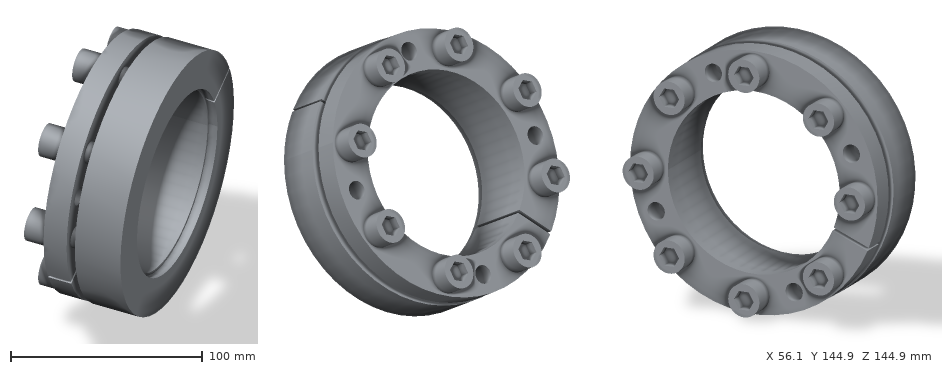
import cadquery as cq
import math


flange_thickness = 13.2
gap = 4.9
ring_width = 26.1
sleeve_setback = 5.0
ring_front = flange_thickness + gap
ring_rear = ring_front + ring_width
sleeve_end = ring_rear - sleeve_setback

ring_diameter = 144.9
flange_diameter = 144.0
bore_diameter = 100.0
taper_front_radius = 53.6
taper_rear_radius = 51.3

pitch_radius = 61.5
screw_count = 8
shank_diameter = 12.0
head_diameter = 18.1
head_height = 11.9
socket_across_flats = 10.0
socket_depth = 6.0
socket_sides = 6
jack_hole_count = 4
jack_hole_diameter = 10.0

half_screw_step = 180 / screw_count
jack_start_angle = 3 * half_screw_step
ring_slit_angle = half_screw_step
flange_slit_angle = ring_slit_angle + 180
flange_slit_width = 1.9
ring_slit_width = 1.3


def cylinder(diameter, start, end, y=0, z=0):
    """Solid cylinder parallel to X between two X positions."""
    return cq.Workplane("YZ", origin=(start, y, z)).circle(diameter / 2).extrude(end - start)


def pitch_points(count, start_angle):
    """(y, z) places evenly spaced on the pitch circle."""
    angles = [math.radians(start_angle + i * 360 / count) for i in range(count)]
    return [(pitch_radius * math.cos(a), pitch_radius * math.sin(a)) for a in angles]


def taper_radius(x):
    """Radius of the mating taper at a given X."""
    slope = (taper_rear_radius - taper_front_radius) / (ring_rear - flange_thickness)
    return taper_front_radius + slope * (x - flange_thickness)


def taper_cone(start, end):
    """Solid frustum of the mating taper between two X positions."""
    profile = [(start, 0), (start, taper_radius(start)), (end, taper_radius(end)), (end, 0)]
    return cq.Workplane("XY").polyline(profile).close().revolve(360, (0, 0, 0), (1, 0, 0))


def cut_holes(body, diameter, points):
    """Drill holes parallel to X right through a body."""
    for y, z in points:
        body = body.cut(cylinder(diameter, 0, ring_rear, y, z))
    return body


def cut_slit(body, angle, width):
    """Cut one radial slit from the axis outwards, over the full length of a body."""
    slit = cq.Workplane("XY").box(
        ring_rear, ring_diameter, width, centered=(False, False, True)
    )
    return body.cut(slit.rotate((0, 0, 0), (1, 0, 0), angle))


screw_points = pitch_points(screw_count, 0)
jack_points = pitch_points(jack_hole_count, jack_start_angle)


def make_flanged_sleeve():
    sleeve = cylinder(flange_diameter, 0, flange_thickness)
    sleeve = sleeve.union(taper_cone(flange_thickness, sleeve_end))
    sleeve = sleeve.cut(cylinder(bore_diameter, 0, sleeve_end))
    sleeve = cut_holes(sleeve, shank_diameter, screw_points)
    sleeve = cut_holes(sleeve, jack_hole_diameter, jack_points)
    return cut_slit(sleeve, flange_slit_angle, flange_slit_width)


def make_outer_ring():
    ring = cylinder(ring_diameter, ring_front, ring_rear)
    ring = ring.cut(taper_cone(ring_front, ring_rear))
    ring = cut_holes(ring, shank_diameter, screw_points)
    return cut_slit(ring, ring_slit_angle, ring_slit_width)


def make_screw(y, z):
    """Socket-head screw whose shank ends flush with the rear of the ring."""
    head = cylinder(head_diameter, -head_height, 0, y, z)
    shank = cylinder(shank_diameter, 0, ring_rear, y, z)
    across_corners = socket_across_flats / math.cos(math.pi / socket_sides)
    socket = (
        cq.Workplane("YZ", origin=(-head_height, y, z))
        .polygon(socket_sides, across_corners)
        .extrude(socket_depth)
    )
    return head.union(shank).cut(socket)


flanged_sleeve = make_flanged_sleeve()
outer_ring = make_outer_ring()
screws = [make_screw(y, z) for y, z in screw_points]

result = cq.Compound.makeCompound(
    [flanged_sleeve.val(), outer_ring.val(), *[screw.val() for screw in screws]]
)